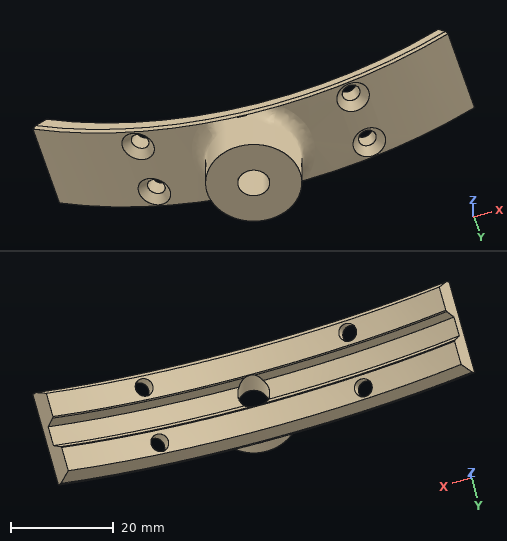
import cadquery as cq
import math

width = 18.8
outer_radius = 84.1
thickness = 4.8
inner_radius = outer_radius - thickness
half_angle = 30.0
side_height = 1.1
top_half_width = 8.0

groove_depth = 2.6
groove_top_half_width = 2.95
groove_floor_half_width = 1.9
groove_lip = 0.25

boss_clearance = 0.01
boss_diameter = width - boss_clearance
boss_fillet = 3.0
total_height = 25.1
bore_diameter = 6.2

screw_angle = 15.0
screw_y = 5.7
screw_diameter = 3.5
sink_diameter = 6.65
sink_angle = 90.0
sink_runout = 0.8

bend_z = total_height + inner_radius * math.cos(math.radians(half_angle))
rail_bottom_z = bend_z - outer_radius
rail_top_z = bend_z - inner_radius


def make_rail():
    """Sweep the grooved, bevelled cross-section around the bend axis."""
    side_z = rail_bottom_z + side_height
    floor_z = rail_top_z - groove_depth
    half_outline = [
        (width / 2, rail_bottom_z),
        (width / 2, side_z),
        (top_half_width, rail_top_z),
        (groove_top_half_width + groove_lip, rail_top_z),
        (groove_top_half_width, rail_top_z - groove_lip),
        (groove_floor_half_width, floor_z),
    ]
    mirrored = [(-y, z) for y, z in reversed(half_outline)]
    section = cq.Workplane("YZ").polyline(half_outline + mirrored).close()
    swept = section.revolve(2 * half_angle, (0, bend_z), (1, bend_z))
    return swept.rotate((0, 0, bend_z), (0, 1, bend_z), -half_angle)


def make_boss():
    """Upright cylinder ending inside the rail, below the groove floor."""
    overlap = (thickness - groove_depth) / 2
    return cq.Workplane("XY").circle(boss_diameter / 2).extrude(rail_bottom_z + overlap)


def make_screw_hole(angle, y):
    """Radial through hole, countersunk on the convex face."""
    apex_height = sink_diameter / 2 / math.tan(math.radians(sink_angle / 2))
    profile = [
        (0, -sink_runout),
        (sink_diameter / 2, -sink_runout),
        (sink_diameter / 2, 0),
        (screw_diameter / 2, apex_height - apex_height * screw_diameter / sink_diameter),
        (screw_diameter / 2, thickness + sink_runout),
        (0, thickness + sink_runout),
    ]
    upright = cq.Workplane("XZ", origin=(0, y, rail_bottom_z)).polyline(profile).close()
    upright = upright.revolve(360, (0, 0), (0, 1))
    return upright.rotate((0, 0, bend_z), (0, 1, bend_z), angle)


def blend_boss(body):
    """Fillet the seam where the boss meets the convex face of the rail."""
    reach = boss_diameter / 2 + boss_clearance
    seam_top = bend_z - math.sqrt(outer_radius**2 - reach**2) + boss_clearance
    seam = cq.selectors.BoxSelector(
        (-reach, -reach, rail_bottom_z - boss_clearance),
        (reach, reach, seam_top),
        boundingbox=True,
    )
    return body.edges(seam).fillet(boss_fillet)


result = blend_boss(make_rail().union(make_boss()))
result = result.cut(cq.Workplane("XY").circle(bore_diameter / 2).extrude(total_height))
for angle in (-screw_angle, screw_angle):
    for y in (-screw_y, screw_y):
        result = result.cut(make_screw_hole(angle, y))